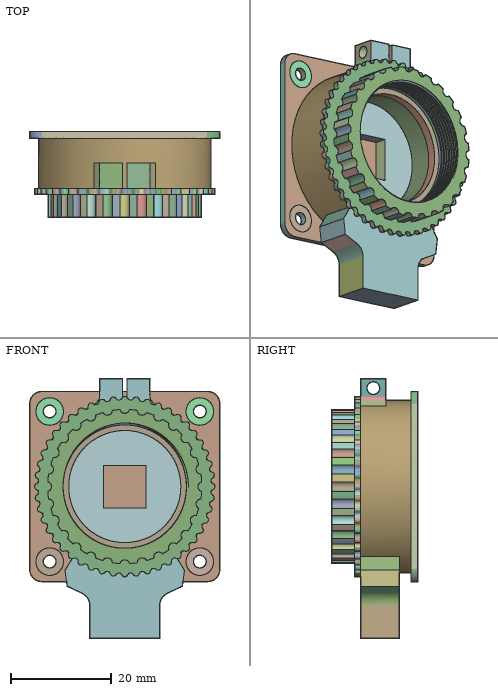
import cadquery as cq
import math


plate_side = 38.0
plate_thickness = 1.4
plate_corner_radius = 2.5
mount_hole_offset = 15.0
mount_hole_diameter = 2.5
bushing_diameter = 5.5

housing_diameter = 34.5
housing_length = 10.0
bore_diameter = 22.4
floor_thickness = 2.8
window_side = 8.5

ear_top = 21.55
ear_half_width = 5.05
ear_length = 5.05
ear_slot_width = 0.85
ear_hole_diameter = 2.5
ear_hole_below_top = 1.9
ear_side_bottom = 17.9
ear_fillet_radius = 1.2
ear_fillet_end = (5.35, 17.1)
ear_foot_end = (6.3, 15.9)

foot_bottom = -30.3
foot_half_width = 7.0
foot_length = 7.7
foot_fillet_radius = 2.65
flare_start = (10.15, -13.9)
flare_widest = (11.9, -16.7)
flare_bottom = (11.5, -19.9)
foot_corner_z = -22.05

spigot_diameter = 25.4
spigot_length = 1.9
flange_diameter = 36.05
flange_thickness = 1.2
flange_tooth_count = 48
flange_tooth_height = 0.7
collar_diameter = 30.8
collar_length = 4.6
collar_notch_count = 28
collar_notch_depth = 0.8
notch_radius = 1.0

thread_minor_diameter = 24.65
thread_major_diameter = 25.4
thread_pitch = 0.795
thread_groove_width = 0.45
thread_exit_angle = 90.0

thread_root_overlap = 0.15
thread_runout = 2 * thread_pitch

ring_front = housing_length + flange_thickness + collar_length
ring_back = housing_length - spigot_length
selection_margin = 0.5


def at_depth(depth):
    """Sketch plane facing the lens side, the given distance in front of the plate."""
    return cq.Workplane("XZ", origin=(0, -depth, 0))


def cylinder(diameter, start, length):
    return at_depth(start).circle(diameter / 2).extrude(length)


def mount_points():
    return [(x, z) for x in (-mount_hole_offset, mount_hole_offset)
            for z in (-mount_hole_offset, mount_hole_offset)]


def make_plate():
    plate = at_depth(-plate_thickness).rect(plate_side, plate_side).extrude(plate_thickness)
    plate = plate.edges("|Y").fillet(plate_corner_radius)
    bushing_seats = (at_depth(-plate_thickness).pushPoints(mount_points())
                     .circle(bushing_diameter / 2).extrude(plate_thickness))
    return plate.cut(bushing_seats)


def make_bushing(x, z):
    """Flush ring that lines one mounting hole of the plate."""
    return (at_depth(-plate_thickness).center(x, z).circle(bushing_diameter / 2)
            .circle(mount_hole_diameter / 2).extrude(plate_thickness))


def make_ears():
    """Pair of lugs whose sides run out to the barrel over a fillet and a slope."""
    fillet_x, fillet_z = ear_fillet_end
    foot_x, foot_z = ear_foot_end
    ears = (at_depth(housing_length - ear_length)
            .moveTo(-ear_half_width, ear_top)
            .lineTo(ear_half_width, ear_top)
            .lineTo(ear_half_width, ear_side_bottom)
            .radiusArc((fillet_x, fillet_z), -ear_fillet_radius)
            .lineTo(foot_x, foot_z)
            .lineTo(-foot_x, foot_z)
            .lineTo(-fillet_x, fillet_z)
            .radiusArc((-ear_half_width, ear_side_bottom), -ear_fillet_radius)
            .close().extrude(ear_length))
    slot = (at_depth(housing_length - ear_length).center(0, ear_top)
            .rect(ear_slot_width, 2 * (ear_top - foot_z)).extrude(ear_length))
    screw_hole = (cq.Workplane("YZ", origin=(-ear_half_width, ear_length / 2 - housing_length,
                                             ear_top - ear_hole_below_top))
                  .circle(ear_hole_diameter / 2).extrude(2 * ear_half_width))
    return ears.cut(slot).cut(screw_hole)


def make_foot():
    """Flared neck narrowing to a rectangular tripod block."""
    right_side = [flare_start, flare_widest, flare_bottom,
                  (foot_half_width, foot_corner_z), (foot_half_width, foot_bottom)]
    left_side = [(-x, z) for x, z in reversed(right_side)]
    foot = at_depth(housing_length - foot_length).polyline(right_side + left_side).close().extrude(foot_length)
    neck_corners = cq.selectors.BoxSelector(
        (-foot_half_width - selection_margin, -housing_length, foot_corner_z - selection_margin),
        (foot_half_width + selection_margin, 0, foot_corner_z + selection_margin))
    return foot.edges("|Y").edges(neck_corners).fillet(foot_fillet_radius)


def make_housing():
    housing = cylinder(housing_diameter, 0, housing_length).union(make_ears()).union(make_foot())
    bore = cylinder(bore_diameter, floor_thickness, housing_length - floor_thickness)
    spigot_seat = cylinder(spigot_diameter, ring_back, spigot_length)
    window = at_depth(0).rect(window_side, window_side).extrude(floor_thickness)
    return housing.cut(bore).cut(spigot_seat).cut(window)


def polar(radius, degrees):
    angle = math.radians(degrees)
    return (radius * math.cos(angle), radius * math.sin(angle))


def make_flange():
    """Disc with a wavy rim, each wave a crest arc followed by a valley arc."""
    crest_radius = flange_diameter / 2
    valley_radius = crest_radius - flange_tooth_height
    flank_radius = (crest_radius + valley_radius) / 2
    quarter = 360 / flange_tooth_count / 4
    outline = at_depth(housing_length).moveTo(*polar(flank_radius, -quarter))
    for tooth in range(flange_tooth_count):
        crest = 4 * quarter * tooth
        outline = outline.threePointArc(polar(crest_radius, crest), polar(flank_radius, crest + quarter))
        outline = outline.threePointArc(polar(valley_radius, crest + 2 * quarter),
                                        polar(flank_radius, crest + 3 * quarter))
    return outline.close().extrude(flange_thickness)


def make_collar(length):
    """Disc with evenly spaced round notches in its rim."""
    start = housing_length + flange_thickness
    notch_centre_radius = collar_diameter / 2 - collar_notch_depth + notch_radius
    notches = (at_depth(start).polarArray(notch_centre_radius, 0, 360, collar_notch_count)
               .circle(notch_radius).extrude(length))
    return cylinder(collar_diameter, start, length).cut(notches)


def make_thread_groove(length):
    """Helical V groove whose centre line reaches the front of the collar at the exit angle."""
    minor_radius = thread_minor_diameter / 2
    helix = cq.Wire.makeHelix(thread_pitch, length, minor_radius)
    groove = (cq.Workplane("XZ")
              .polyline([(minor_radius - thread_root_overlap, -thread_groove_width / 2),
                         (minor_radius - thread_root_overlap, thread_groove_width / 2),
                         (thread_major_diameter / 2, 0)])
              .close().sweep(cq.Workplane(obj=helix), isFrenet=True))
    start = housing_length + thread_pitch / 2
    start_angle = thread_exit_angle - 360 * (ring_front - start) / thread_pitch
    return (groove.rotate((0, 0, 0), (0, 0, 1), start_angle)
            .rotate((0, 0, 0), (1, 0, 0), 90)
            .translate((0, -start, 0)))


def make_ring():
    """Spigot, flange and collar in one, threaded over full length and then trimmed at the front."""
    spigot = cylinder(spigot_diameter, ring_back, spigot_length)
    ring = spigot.union(make_flange()).union(make_collar(collar_length + thread_runout))
    threaded_length = ring_front - housing_length
    ring = ring.cut(cylinder(bore_diameter, ring_back, spigot_length))
    ring = ring.cut(cylinder(thread_minor_diameter, housing_length, threaded_length + thread_runout))
    ring = ring.cut(make_thread_groove(threaded_length))
    return ring.cut(cylinder(flange_diameter, ring_front, thread_runout))


plate = make_plate()
bushings = [make_bushing(x, z) for x, z in mount_points()]
housing = make_housing()
lens_ring = make_ring()

result = cq.Compound.makeCompound(
    [*plate.solids().vals(), *[bushing.val() for bushing in bushings],
     *housing.solids().vals(), *lens_ring.solids().vals()])